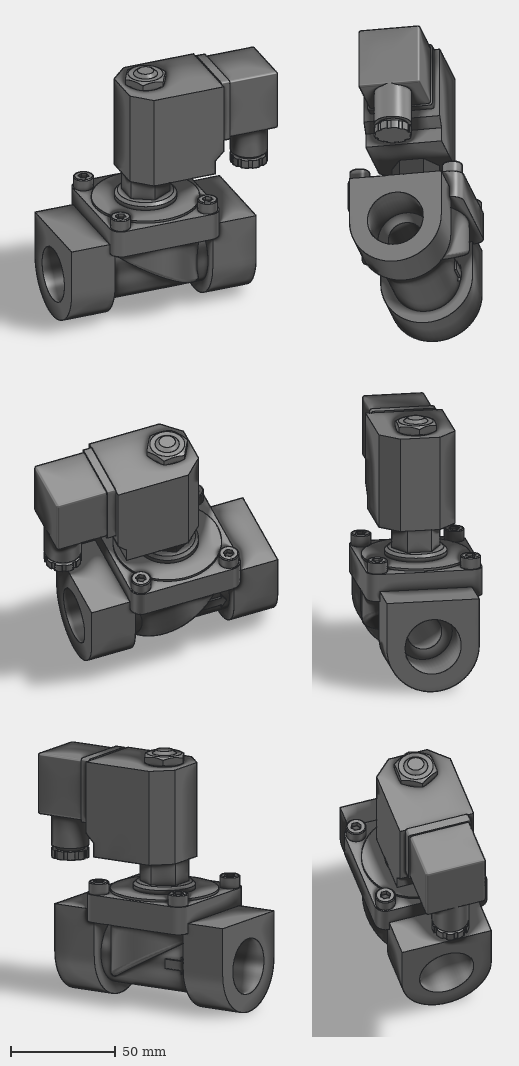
import cadquery as cq
import math


hexagon_ratio = 1 / math.cos(math.pi / 6)

port_radius = 22.5
port_half_span = 48.0
port_inner_face = 25.4
port_top = 22.8
thread_radius = 13.6
thread_depth = 24.5
bore_radius = 8.5
core_radius = 16.6

chamber_radius = 25.7
chamber_mid_z = -0.5
chamber_slope = 28.5
chamber_fillet = 2.0

arrow_tail_y = -11.8
arrow_neck_y = -20.9
arrow_tip_y = -23.6
arrow_shaft_half = 2.3
arrow_head_half = 4.2
arrow_relief = 1.0

flange_side = 56.3
flange_bottom = 17.9
flange_top = 31.4
flange_corner = 5.5
disc_radius = 26.0
disc_top = 32.5

screw_offset = flange_side / 2 - flange_corner
screw_head_radius = 4.8
screw_head_top = 37.2
screw_chamfer = 0.5
socket_flats = 4.4
socket_depth = 2.5

collar_radius = 15.0
collar_top = 36.0
collar_chamfer = 1.5
stem_hex_flats = 20.3
stem_radius = 5.8
stem_top = 100.3
stem_tip_radius = 3.9

coil_width = 37.1
coil_front = -12.3
coil_back = 32.8
coil_bottom = 47.5
coil_top = 93.6
coil_corner_chamfer = 8.8
coil_step_y = 28.4
coil_step_low = 54.4
coil_step_high = coil_step_low + coil_back - coil_step_y

nut_flats = 18.3
nut_top = 98.7
nut_face_radius = 8.3
nut_chamfer_angle = 30.0

plug_center_z = 78.5
plate_side = 31.7
plate_back = 37.2
plug_side = 30.0
plug_back = 62.7
plug_fillet = 1.2
gland_radius = 9.0
gland_y = plug_back - gland_radius
gland_bottom = 46.9
gland_neck_radius = 6.8
ring_top = 45.0
ring_bottom = 41.0
notch_count = 10
notch_width = 1.8
notch_depth = 0.6


def cylinder(radius, bottom, top, x=0, y=0):
    """Upright cylinder between two heights."""
    return cq.Workplane("XY", origin=(x, y, bottom)).circle(radius).extrude(top - bottom)


def hexagon(flats, bottom, top, turn=0, x=0, y=0):
    """Upright hexagonal prism, with corners along X until it is turned."""
    prism = cq.Workplane("XY").polygon(6, flats * hexagon_ratio).extrude(top - bottom)
    return prism.rotate((0, 0, 0), (0, 0, 1), turn).translate((x, y, bottom))


def block(width, y_start, y_end, z_start, z_end):
    """Box centred on X = 0."""
    size = (width, y_end - y_start, z_end - z_start)
    return cq.Workplane("XY", origin=(0, y_start, z_start)).box(*size, centered=(True, False, False))


def u_section(radius, top, y_start, y_end):
    """Bar along Y with a flat top and a half-round underside."""
    return (
        cq.Workplane("XZ", origin=(0, y_end, 0))
        .moveTo(-radius, top)
        .lineTo(-radius, 0)
        .threePointArc((0, -radius), (radius, 0))
        .lineTo(radius, top)
        .close()
        .extrude(y_end - y_start)
    )


def round_bar(radius, y_start, y_end):
    """Round bar on the port axis."""
    return cq.Workplane("XZ", origin=(0, y_end, 0)).circle(radius).extrude(y_end - y_start)


def make_chamber():
    """Round chamber with a slanted underside and a rounded lower rim."""
    cutter_side = 4 * chamber_radius
    below_chamber = cq.Workplane("XY").rect(cutter_side, cutter_side).extrude(-cutter_side)
    below_chamber = below_chamber.rotate((0, 0, 0), (1, 0, 0), -chamber_slope)
    below_chamber = below_chamber.translate((0, 0, chamber_mid_z))
    chamber = cylinder(chamber_radius, -port_radius, flange_bottom).cut(below_chamber)
    return chamber.faces("<Z").edges().fillet(chamber_fillet)


def make_flow_arrow():
    """Raised arrow pointing to the -Y port."""
    head_base = [(arrow_neck_y, -arrow_shaft_half), (arrow_neck_y, -arrow_head_half)]
    head_top = [(arrow_neck_y, arrow_head_half), (arrow_neck_y, arrow_shaft_half)]
    outline = [(arrow_tail_y, -arrow_shaft_half), *head_base, (arrow_tip_y, 0), *head_top]
    outline.append((arrow_tail_y, arrow_shaft_half))
    face = cq.Workplane("YZ", origin=(-core_radius - arrow_relief, 0, 0)).polyline(outline).close()
    wall_thickness = core_radius - bore_radius
    return face.extrude(wall_thickness)


def make_screw(x, y):
    """Cap screw head with a hexagon socket."""
    head = cylinder(screw_head_radius, flange_top, screw_head_top, x, y).faces(">Z").chamfer(screw_chamfer)
    socket_bottom = screw_head_top - socket_depth
    return head.cut(hexagon(socket_flats, socket_bottom, screw_head_top, x=x, y=y))


def make_stem():
    """Collar, spanner hexagon and round stem with a conical tip."""
    collar = cylinder(collar_radius, disc_top, collar_top).faces(">Z").chamfer(collar_chamfer)
    spanner_hex = hexagon(stem_hex_flats, collar_top, coil_bottom)
    shank = cylinder(stem_radius, coil_bottom, nut_top)
    tip = (
        cq.Workplane("XY", origin=(0, 0, nut_top))
        .circle(stem_radius)
        .workplane(offset=stem_top - nut_top)
        .circle(stem_tip_radius)
        .loft()
    )
    return collar.union(spanner_hex).union(shank).union(tip)


def make_valve():
    """Ported housing with its flange, screws and stem."""
    valve = round_bar(core_radius, -port_inner_face, port_inner_face)
    valve = valve.union(u_section(port_radius, port_top, port_inner_face, port_half_span))
    valve = valve.union(u_section(port_radius, port_top, -port_half_span, -port_inner_face))
    valve = valve.union(make_chamber()).union(make_flow_arrow())

    flange = block(flange_side, -flange_side / 2, flange_side / 2, flange_bottom, flange_top)
    valve = valve.union(flange.edges("|Z").fillet(flange_corner))
    valve = valve.union(cylinder(disc_radius, flange_top, disc_top))

    for x in (-screw_offset, screw_offset):
        for y in (-screw_offset, screw_offset):
            valve = valve.union(make_screw(x, y))
    valve = valve.union(make_stem())

    thread_end = port_half_span - thread_depth
    valve = valve.cut(round_bar(bore_radius, -port_half_span, port_half_span))
    valve = valve.cut(round_bar(thread_radius, thread_end, port_half_span))
    return valve.cut(round_bar(thread_radius, -port_half_span, -thread_end))


def make_coil():
    """Coil housing with chamfered front corners and a cut-back lower rear."""
    coil = (
        cq.Workplane("YZ")
        .moveTo(coil_front, coil_bottom)
        .lineTo(coil_step_y, coil_bottom)
        .lineTo(coil_step_y, coil_step_low)
        .lineTo(coil_back, coil_step_high)
        .lineTo(coil_back, coil_top)
        .lineTo(coil_front, coil_top)
        .close()
        .extrude(coil_width / 2, both=True)
    )
    coil = coil.faces("<Y").edges("|Z").chamfer(coil_corner_chamfer)
    return coil.cut(cylinder(stem_radius, coil_bottom, coil_top))


def make_nut():
    """Hexagon nut with conical chamfers on both faces."""
    corner_radius = nut_flats * hexagon_ratio / 2
    cone_height = (corner_radius - nut_face_radius) * math.tan(math.radians(nut_chamfer_angle))
    envelope = (
        cq.Workplane("XZ")
        .moveTo(0, coil_top)
        .lineTo(nut_face_radius, coil_top)
        .lineTo(corner_radius, coil_top + cone_height)
        .lineTo(corner_radius, nut_top - cone_height)
        .lineTo(nut_face_radius, nut_top)
        .lineTo(0, nut_top)
        .close()
        .revolve(360, (0, 0, 0), (0, 1, 0))
    )
    nut = hexagon(nut_flats, coil_top, nut_top, turn=30).intersect(envelope)
    return nut.cut(cylinder(stem_radius, coil_top, nut_top))


def make_gland_ring():
    """Cable gland ring with evenly spaced grip notches."""
    ring = cylinder(gland_radius, ring_bottom, ring_top, y=gland_y)
    pitch = 360 / notch_count
    notch = (
        cq.Workplane("XY", origin=(gland_radius, 0, ring_bottom))
        .box(2 * notch_depth, notch_width, ring_top - ring_bottom, centered=(True, True, False))
    )
    for index in range(notch_count):
        turned = notch.rotate((0, 0, 0), (0, 0, 1), (index + 0.5) * pitch)
        ring = ring.cut(turned.translate((0, gland_y, 0)))
    return ring


def make_connector():
    """Square plug with its mounting plate and cable gland."""
    half_plate = plate_side / 2
    plate = block(plate_side, coil_back, plate_back, plug_center_z - half_plate, plug_center_z + half_plate)
    plate = plate.edges("|Y").fillet(plug_fillet)

    half_plug = plug_side / 2
    plug_bottom = plug_center_z - half_plug
    plug = block(plug_side, plate_back, plug_back, plug_bottom, plug_center_z + half_plug)
    plug = plug.edges("|Y or >Y").fillet(plug_fillet)

    gland = cylinder(gland_radius, gland_bottom, plug_bottom + plug_fillet, y=gland_y)
    neck = cylinder(gland_neck_radius, ring_top, gland_bottom, y=gland_y)
    return plate.union(plug).union(gland).union(neck).union(make_gland_ring())


valve = make_valve()
coil = make_coil()
nut = make_nut()
connector = make_connector()

result = cq.Compound.makeCompound([valve.val(), coil.val(), nut.val(), connector.val()])